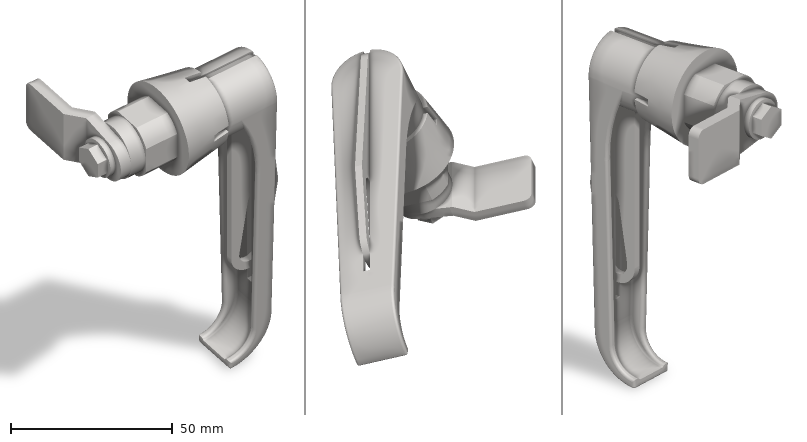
import cadquery as cq
import math


overall_height = 121.0

collar_front_radius = 16.0
collar_back_radius = 13.2
collar_length = 17.4
shank_length = 12.0
shank_radius = 11.0
shank_flat_distance = 9.9
notch_width = 2.5
notch_depth = 6.3
notch_count = 4

boss_radius = 11.7
back_y = 37.5
blade_thickness = 6.9
blade_taper = math.radians(1.9)
floor_thickness = 2.4
wall_thickness = 2.4
tail_outer_radius = 16.0
tail_inner_center_z = -92.8
root_radius = 50.0
root_start_z = -28.0
outer_fillet = 0.79
rim_fillet = 1.0
floor_fillet = 0.7
slot_bottom_z = -80.8
slot_front_y = 11.9

shaft_radius = 4.8
ring_radius = 9.5
ring_length = 5.5
washer_radius = 6.7
washer_length = 1.9
hex_flats = 9.7
hex_length = 3.5

cam_thickness = 4.0
cam_offset = 4.5
cam_half_width = 9.4
cam_far_x = -33.9
cam_bend_far_x = -14.3
cam_bend_near_x = -8.5
cam_bend_back_shift = 1.0
cam_nose_x = 9.5
cam_nose_radius = 7.5
cam_corner_radius = 2.5

lever_thickness = 2.3
lever_foot_radius = 7.0
lever_foot_y = 34.4
lever_foot_z = -67.6
lever_tilt = math.radians(9.4)
lever_corner_z = -43.8
lever_top_z = 10.9
lever_top_back_y = 39.2
lever_top_radius = 5.0
lever_head_front_y = 12.6
lever_head_bottom_z = -11.5
lever_head_slope_length = 2.3
lever_head_slope_drop = 1.2
lever_inner_radius = 3.0
window_radius = 4.0
window_top_z = -47.7

notch_floor_y = collar_length - notch_depth
ring_back_y = -shank_length
cam_back_y = ring_back_y - ring_length
washer_back_y = cam_back_y - cam_thickness
hex_back_y = washer_back_y - washer_length
blade_front_y = back_y - blade_thickness
floor_y = back_y - floor_thickness
tip_y = back_y - tail_outer_radius
tail_inner_radius = blade_front_y - tip_y
tail_center_to_fillet = tail_outer_radius - outer_fillet
tip_fillet_loss = tail_center_to_fillet - math.sqrt(tail_center_to_fillet**2 - outer_fillet**2)
bottom_z = collar_front_radius - overall_height - tip_fillet_loss
tail_outer_center_z = bottom_z + tail_outer_radius
half_root = math.sqrt(0.5)


def rod(radius, back, length):
    """A cylinder on the lock axis that runs from `back` toward -Y."""
    return cq.Workplane("XZ", origin=(0, back, 0)).circle(radius).extrude(length)


def along_x(outline, half_width):
    """Extrude a YZ outline symmetrically about X = 0."""
    return outline.extrude(half_width, both=True)


def blade_half_width(z):
    """Half the width between the flanks, which is the boss radius at the lock axis."""
    return boss_radius + z * math.tan(blade_taper)


def taper_block(inset):
    """A block as wide as the tapering blade less an inset at each side."""
    top_z = boss_radius
    top_half = blade_half_width(top_z) - inset
    low_half = blade_half_width(bottom_z) - inset
    outline = [(-top_half, top_z), (top_half, top_z), (low_half, bottom_z), (-low_half, bottom_z)]
    return cq.Workplane("XZ").polyline(outline).close().extrude(-back_y)


def quarter_middle(center_z, radius):
    """Middle of the tail arc that is centred at the tip's Y."""
    return tip_y + radius * half_root, center_z - radius * half_root


def root_point(z):
    """Point on the arc where the blade widens into the boss."""
    center_y = blade_front_y - root_radius
    return center_y + math.sqrt(root_radius**2 - (z - root_start_z) ** 2), z


def blade():
    """Curved root, straight middle and hooked tail, with rounded outer edges."""
    side = (
        cq.Workplane("YZ")
        .moveTo(back_y, boss_radius)
        .lineTo(back_y, tail_outer_center_z)
        .threePointArc(quarter_middle(tail_outer_center_z, tail_outer_radius), (tip_y, bottom_z))
        .lineTo(tip_y, tail_inner_center_z - tail_inner_radius)
        .threePointArc(
            quarter_middle(tail_inner_center_z, tail_inner_radius), (blade_front_y, tail_inner_center_z)
        )
        .lineTo(blade_front_y, root_start_z)
        .threePointArc(root_point(root_start_z / 2), root_point(boss_radius))
        .close()
    )
    body = along_x(side, 2 * boss_radius).intersect(taper_block(0))
    tip_edge = body.edges("|X").edges("<Z").vals()
    return body.newObject(side_edges(body) + tip_edge).fillet(outer_fillet)


def side_edges(body):
    """Edges that run along the flanks, without those of the flat top."""
    middles = [(edge, edge.positionAt(0.5)) for edge in body.edges().vals()]
    return [
        edge
        for edge, middle in middles
        if abs(middle.x) > lever_thickness and middle.z < boss_radius - outer_fillet
    ]


def pocket():
    """The channel cut into the front of the blade, with rounded floor edges."""
    floor_radius = tail_outer_radius - floor_thickness
    floor_tip_z = tail_outer_center_z - floor_radius
    side = (
        cq.Workplane("YZ")
        .moveTo(floor_y, boss_radius)
        .lineTo(floor_y, tail_outer_center_z)
        .threePointArc(quarter_middle(tail_outer_center_z, floor_radius), (tip_y, floor_tip_z))
        .lineTo(0, floor_tip_z)
        .lineTo(0, boss_radius)
        .close()
    )
    block = along_x(side, 2 * boss_radius).intersect(taper_block(wall_thickness))
    floor_edges = [e for e in side_edges(block) if e.positionAt(0.5).y > tip_y]
    return block.newObject(floor_edges).fillet(floor_fillet)


def channelled_blade():
    """The blade with its channel, trimmed at the lock axis."""
    body = blade().cut(pocket())
    rim_z = (root_start_z + tail_inner_center_z) / 2
    rim_x = blade_half_width(rim_z) - wall_thickness
    rims = [
        body.edges(cq.selectors.NearestToPointSelector((side * rim_x, blade_front_y, rim_z))).val()
        for side in (-1, 1)
    ]
    body = body.newObject(rims).fillet(rim_fillet)
    below_axis = cq.Workplane("XY").rect(4 * boss_radius, 4 * back_y).extrude(2 * bottom_z)
    return body.intersect(below_axis)


def hexagon(back, length):
    """Hexagonal head on the lock axis with its corners at the top and bottom."""
    corner_circle = hex_flats / math.cos(math.pi / 6)
    head = cq.Workplane("XZ", origin=(0, back, 0)).polygon(6, corner_circle).extrude(length)
    return head.rotate((0, 0, 0), (0, 1, 0), 30)


def lever_slot():
    """Slot in the boss and the blade that the lever swings in."""
    outline = (
        cq.Workplane("YZ")
        .moveTo(slot_front_y, slot_bottom_z)
        .lineTo(back_y, slot_bottom_z)
        .lineTo(back_y, boss_radius)
        .lineTo(slot_front_y, boss_radius)
        .close()
    )
    return along_x(outline, lever_thickness / 2)


def make_handle():
    """Handle with the boss and the spindle that passes through the housing and the cam."""
    boss = rod(boss_radius, back_y, back_y - notch_floor_y).faces(">Y").edges().fillet(outer_fillet)
    body = channelled_blade().union(boss).cut(lever_slot())
    body = body.union(rod(shaft_radius, notch_floor_y, notch_floor_y - washer_back_y))
    body = body.union(rod(ring_radius, ring_back_y, ring_length))
    body = body.union(rod(washer_radius, washer_back_y, washer_length))
    return body.union(hexagon(hex_back_y, hex_length))


def make_housing():
    """Conical collar with notches around its bored back end and a shank with four flats."""
    collar = (
        cq.Workplane("XZ")
        .circle(collar_front_radius)
        .workplane(offset=-collar_length)
        .circle(collar_back_radius)
        .loft()
    )
    flats = (
        cq.Workplane("XZ")
        .rect(2 * shank_flat_distance, 2 * shank_flat_distance)
        .extrude(shank_length)
    )
    body = collar.union(rod(shank_radius, 0, shank_length).intersect(flats))
    body = body.cut(rod(boss_radius, collar_length, notch_depth))
    for index in range(notch_count):
        notch = (
            cq.Workplane("XZ", origin=(0, collar_length, 0))
            .center(collar_front_radius / 2, 0)
            .rect(collar_front_radius, notch_width)
            .extrude(notch_depth)
            .rotate((0, 0, 0), (0, 1, 0), 360 / notch_count * index)
        )
        body = body.cut(notch)
    return body.cut(rod(shaft_radius, notch_floor_y, notch_floor_y - ring_back_y))


def make_cam():
    """Cranked plate with a rounded nose, held between the spindle's ring and washer."""
    far_back_y = cam_back_y - cam_offset
    crank = (
        cq.Workplane("XY")
        .moveTo(cam_far_x, far_back_y)
        .lineTo(cam_bend_far_x - cam_bend_back_shift, far_back_y)
        .lineTo(cam_bend_near_x - cam_bend_back_shift, cam_back_y)
        .lineTo(cam_nose_x, cam_back_y)
        .lineTo(cam_nose_x, washer_back_y)
        .lineTo(cam_bend_near_x, washer_back_y)
        .lineTo(cam_bend_far_x, washer_back_y - cam_offset)
        .lineTo(cam_far_x, washer_back_y - cam_offset)
        .close()
        .extrude(cam_half_width, both=True)
        .edges("|Y and <X")
        .fillet(cam_corner_radius)
    )
    nose_center_x = cam_nose_x - cam_nose_radius
    corner_distance = math.hypot(cam_bend_near_x - nose_center_x, cam_half_width)
    corner_angle = math.atan2(cam_half_width, cam_bend_near_x - nose_center_x)
    tangent_angle = corner_angle - math.acos(cam_nose_radius / corner_distance)
    tangent_x = nose_center_x + cam_nose_radius * math.cos(tangent_angle)
    tangent_z = cam_nose_radius * math.sin(tangent_angle)
    outline = (
        cq.Workplane("XZ")
        .moveTo(cam_far_x, cam_half_width)
        .lineTo(cam_bend_near_x, cam_half_width)
        .lineTo(tangent_x, tangent_z)
        .threePointArc((cam_nose_x, 0), (tangent_x, -tangent_z))
        .lineTo(cam_bend_near_x, -cam_half_width)
        .lineTo(cam_far_x, -cam_half_width)
        .close()
        .extrude(collar_front_radius * 2)
    )
    return crank.intersect(outline).cut(rod(shaft_radius, cam_back_y, cam_thickness))


def window():
    """Slanted round-ended opening, concentric with the lever's foot."""
    height = window_top_z - lever_foot_z
    length = height / math.cos(lever_tilt)
    outline = (
        cq.Workplane("YZ")
        .center(lever_foot_y + height / 2 * math.tan(lever_tilt), lever_foot_z + height / 2)
        .slot2D(length + 2 * window_radius, 2 * window_radius, 90 - math.degrees(lever_tilt))
    )
    return along_x(outline, lever_thickness)


def make_lever():
    """Flat trigger lever with a head in the boss slot and a rounded foot."""
    front_y = lever_foot_y - lever_foot_radius
    foot_tangent = (
        lever_foot_y + lever_foot_radius * math.cos(lever_tilt),
        lever_foot_z - lever_foot_radius * math.sin(lever_tilt),
    )
    corner_y = foot_tangent[0] + (lever_corner_z - foot_tangent[1]) * math.tan(lever_tilt)
    outline = (
        cq.Workplane("YZ")
        .moveTo(lever_head_front_y, lever_top_z - lever_head_slope_drop)
        .lineTo(lever_head_front_y + lever_head_slope_length, lever_top_z)
        .lineTo(lever_top_back_y, lever_top_z)
        .lineTo(corner_y, lever_corner_z)
        .lineTo(*foot_tangent)
        .threePointArc((lever_foot_y, lever_foot_z - lever_foot_radius), (front_y, lever_foot_z))
        .lineTo(front_y, lever_head_bottom_z)
        .lineTo(lever_head_front_y, lever_head_bottom_z)
        .close()
    )
    plate = along_x(outline, lever_thickness / 2)

    def corner(y, z):
        return cq.selectors.NearestToPointSelector((0, y, z))

    plate = plate.edges(corner(lever_top_back_y, lever_top_z)).fillet(lever_top_radius)
    plate = plate.edges(corner(front_y, lever_head_bottom_z)).fillet(lever_inner_radius)
    return plate.cut(window())


handle = make_handle()
housing = make_housing()
cam = make_cam()
lever = make_lever()

result = cq.Compound.makeCompound(
    [body.solids().val() for body in (handle, housing, cam, lever)]
)